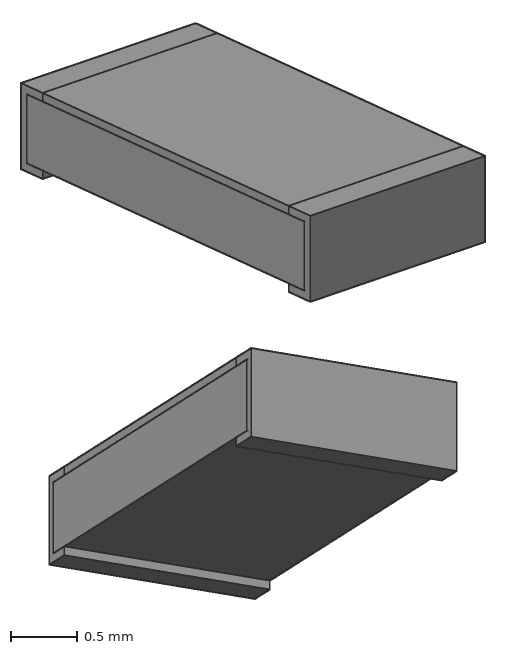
import cadquery as cq

LENGTH = 3.35
WIDTH = 1.75
HEIGHT = 0.71

METAL = 0.07
WRAP = 0.25

CORE_LENGTH = LENGTH - 2 * METAL
CORE_HEIGHT = HEIGHT - 2 * METAL
COATING_LENGTH = LENGTH - 2 * WRAP


def block(length, height, center_x, bottom_z):
    """A box over the full width, placed by its middle in X and its underside in Z."""
    return (
        cq.Workplane("XY")
        .box(length, WIDTH, height, centered=(True, True, False))
        .translate((center_x, 0, bottom_z))
    )


def make_core():
    """Ceramic core, raised off the board by the terminal metal."""
    return block(CORE_LENGTH, CORE_HEIGHT, 0, METAL)


def make_coating():
    """Protective layer on top of the core, flush with the terminals."""
    return block(COATING_LENGTH, METAL, 0, METAL + CORE_HEIGHT)


def make_terminal(side, core):
    """C-shaped end cap around one end of the core; side is -1 or +1 along X."""
    center_x = side * (LENGTH - WRAP) / 2
    return block(WRAP, HEIGHT, center_x, 0).cut(core)


core = make_core()
coating = make_coating()
terminals = [make_terminal(side, core) for side in (-1, 1)]

result = cq.Compound.makeCompound(
    [core.val(), coating.val(), *[terminal.solids().val() for terminal in terminals]]
)